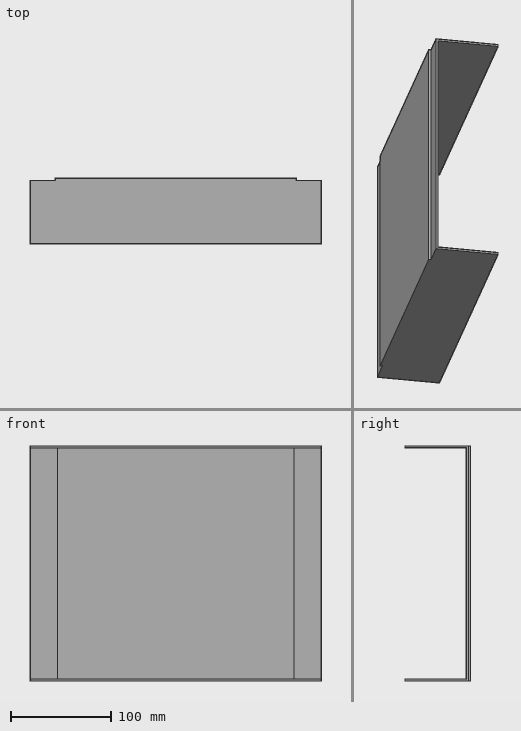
import cadquery as cq

width = 291.0
depth = 65.8
height = 235.0

sheet = 2.18
recess = 2.3
strip_width = 25.0

back_y = depth / 2
strip_rear_y = back_y - recess
strip_front_y = strip_rear_y - sheet
panel_front_y = back_y - sheet
panel_half = width / 2 - strip_width
recess_half = panel_half - sheet


def box_between(x_half, y_front, y_rear, z_half):
    """Box centred in X and Z, spanning the given Y range."""
    return (
        cq.Workplane("XY")
        .box(2 * x_half, y_rear - y_front, 2 * z_half)
        .translate((0, (y_front + y_rear) / 2, 0))
    )


channel = box_between(width / 2, -back_y, strip_rear_y, height / 2)
inner_half_height = height / 2 - sheet
channel = channel.cut(box_between(width / 2, -back_y, strip_front_y, inner_half_height))

panel = box_between(panel_half, strip_front_y, back_y, height / 2)
pocket = box_between(recess_half, strip_front_y, panel_front_y, inner_half_height)

result = channel.union(panel).cut(pocket)